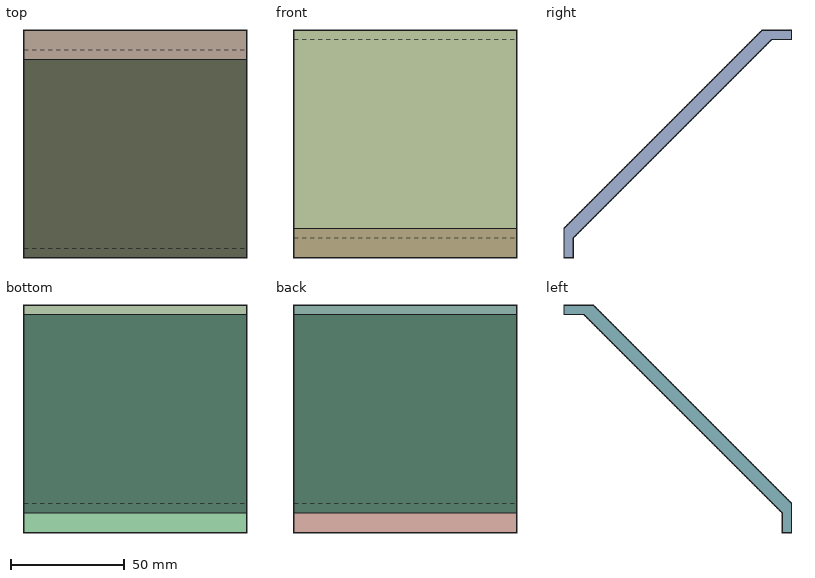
import cadquery as cq

width = 98.0
span = 100.0
flange_length = 13.0
flange_thickness = 4.2

half_span = span / 2
outer_bend = half_span - flange_length
inner_edge = half_span - flange_thickness
inner_bend = outer_bend + flange_thickness

profile = [
    (half_span, half_span),
    (outer_bend, half_span),
    (-half_span, -outer_bend),
    (-half_span, -half_span),
    (-inner_edge, -half_span),
    (-inner_edge, -inner_bend),
    (inner_bend, inner_edge),
    (half_span, inner_edge),
]

result = cq.Workplane("YZ").polyline(profile).close().extrude(width / 2, both=True)